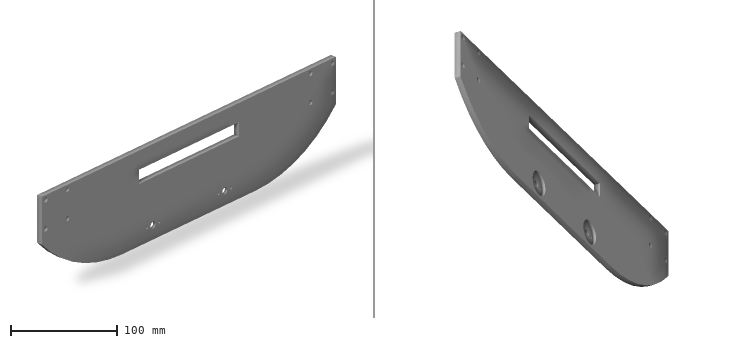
import cadquery as cq
import math

thickness = 6.0
length = 410.0
height = 100.0
side_height = height / 2
corner_radius = 150.0

slot_length = 140.0
slot_height = 14.8
slot_top_margin = 20.0

mount_hole_diameter = 5.5
edge_margin = 5.0
mount_spacing = 30.5

recess_spacing = 100.0
recess_bottom_margin = 15.0
recess_diameter = 25.0
recess_depth = 3.08
shaft_diameter = 7.0
screw_diameter = 3.0
screw_offset = 8.5

front_x = -thickness / 2
top_z = height / 2
bottom_z = -height / 2


def make_plate():
    """Plate whose lower corners are arcs tangent to the bottom edge."""
    half_length = length / 2
    side_end_z = top_z - side_height
    arc_center_z = bottom_z + corner_radius
    arc_angle = math.acos((arc_center_z - side_end_z) / corner_radius)
    flat_half = half_length - corner_radius * math.sin(arc_angle)
    middle_y = flat_half + corner_radius * math.sin(arc_angle / 2)
    middle_z = arc_center_z - corner_radius * math.cos(arc_angle / 2)
    return (
        cq.Workplane("YZ", origin=(front_x, 0, 0))
        .moveTo(-half_length, top_z)
        .lineTo(half_length, top_z)
        .lineTo(half_length, side_end_z)
        .threePointArc((middle_y, middle_z), (flat_half, bottom_z))
        .lineTo(-flat_half, bottom_z)
        .threePointArc((-middle_y, middle_z), (-half_length, side_end_z))
        .close()
        .extrude(thickness)
    )


def cylinders(centers, diameter, depth=thickness):
    """Cylinders along X at the (y, z) centers, starting at the -X face."""
    plane = cq.Workplane("YZ", origin=(front_x, 0, 0))
    return plane.pushPoints(centers).circle(diameter / 2).extrude(depth)


def cut_slot(plate):
    slot_z = top_z - slot_top_margin - slot_height / 2
    slot = cq.Workplane("XY").box(thickness, slot_length, slot_height)
    return plate.cut(slot.translate((0, 0, slot_z)))


def cut_mounting_holes(plate):
    outer_y = length / 2 - edge_margin
    upper_z = top_z - edge_margin
    columns = (outer_y, outer_y - mount_spacing)
    rows = (upper_z, upper_z - mount_spacing)
    centers = [(side * y, z) for side in (-1, 1) for y in columns for z in rows]
    return plate.cut(cylinders(centers, mount_hole_diameter))


def cut_recesses(plate):
    z = bottom_z + recess_bottom_margin
    for y in (-recess_spacing / 2, recess_spacing / 2):
        screw_centers = [(y - screw_offset, z), (y + screw_offset, z)]
        plate = plate.cut(cylinders([(y, z)], recess_diameter, recess_depth))
        plate = plate.cut(cylinders([(y, z)], shaft_diameter))
        plate = plate.cut(cylinders(screw_centers, screw_diameter))
    return plate


result = cut_recesses(cut_mounting_holes(cut_slot(make_plate())))